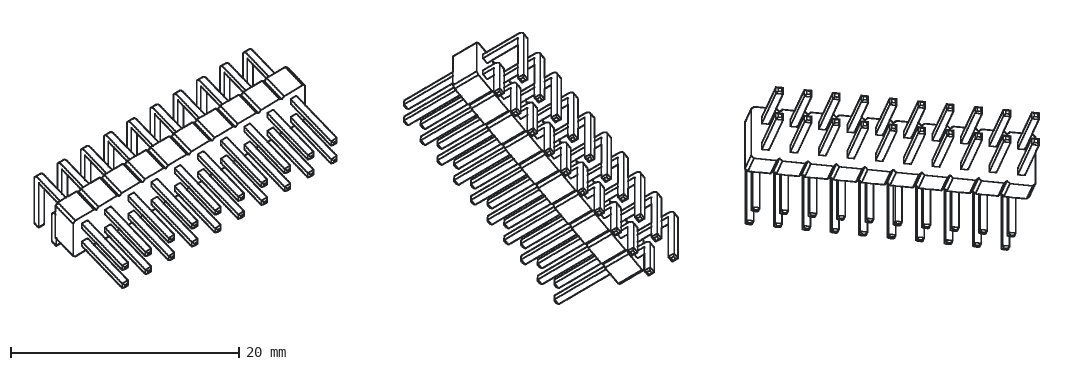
import cadquery as cq

pitch = 2.55
pins_per_row = 10
row_count = 2

bar_width = pitch
bar_length = pins_per_row * pitch
bar_height = row_count * pitch
cell_chamfer = pitch / 10

pin_width = 0.64
bend_radius = pin_width
tip_chamfer = pin_width / 4
contact_length = 6.02
tail_depth = 3.0
upper_tail_reach = 4.35

contact_end_x = bar_width / 2 + contact_length
tail_end_z = -bar_height / 2 - tail_depth
upper_tail_x = -bar_width / 2 - upper_tail_reach
upper_row_z = (row_count - 1) * pitch / 2


def pitch_centres():
    """Y positions of the cells along the bar."""
    first = (pitch - bar_length) / 2
    return [first + index * pitch for index in range(pins_per_row)]


def make_cell(centre_y):
    """One bar cell; neighbouring chamfers meet in a V notch."""
    cell = cq.Workplane("XY").box(bar_width, pitch, bar_height)
    return cell.edges("|X").chamfer(cell_chamfer).translate((0, centre_y, 0))


def make_pin(tail_x, row_z):
    """An L-shaped pin centred on Y = 0, tapered at both ends."""
    top_z = row_z + pin_width / 2
    bottom_z = row_z - pin_width / 2
    profile = (
        cq.Workplane("XZ")
        .moveTo(contact_end_x, bottom_z)
        .lineTo(contact_end_x, top_z)
        .lineTo(tail_x + bend_radius, top_z)
        .radiusArc((tail_x, top_z - bend_radius), -bend_radius)
        .lineTo(tail_x, tail_end_z)
        .lineTo(tail_x + pin_width, tail_end_z)
        .lineTo(tail_x + pin_width, bottom_z)
        .close()
    )
    pin = profile.extrude(pin_width / 2, both=True)
    return pin.faces(">X or <Z").edges().chamfer(tip_chamfer)


result = make_cell(pitch_centres()[0])
for cell_y in pitch_centres()[1:]:
    result = result.union(make_cell(cell_y))
result = result.clean()

for row in range(row_count):
    row_offset = row * pitch
    row_pin = make_pin(upper_tail_x + row_offset, upper_row_z - row_offset)
    for pin_y in pitch_centres():
        result = result.union(row_pin.translate((0, pin_y, 0)))